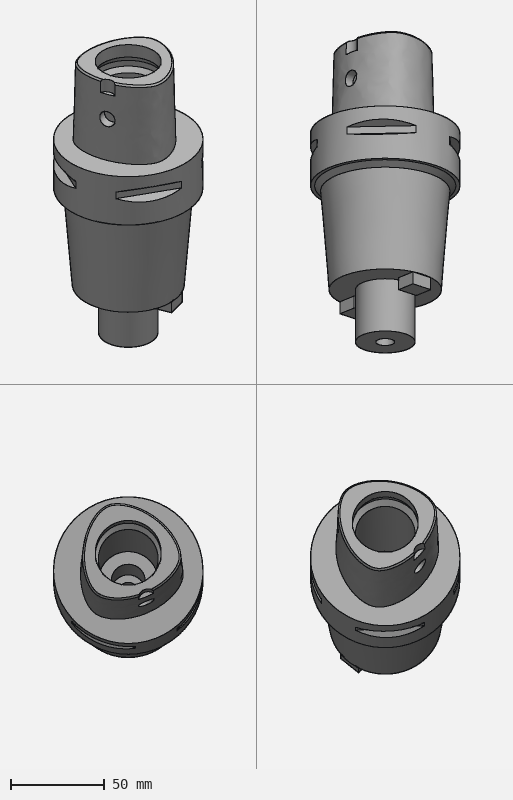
import cadquery as cq
import math

total_length = 168.0
shank_length = 48.0
flange_length = 30.0
collar_length = 3.0
pilot_length = 30.0
flange_top = total_length - shank_length
flange_bottom = flange_top - flange_length
body_top = flange_bottom - collar_length

flange_radius = 40.0
collar_radius = 37.8
body_top_radius = 34.6
body_bottom_radius = 30.0
pilot_radius = 16.0

shank_diameter = 55.0
shank_eccentricity = 2.0
shank_taper = 1 / 20
rim_bevel = 1.0
curve_points = 48

mouth_radius = 17.6
groove_radius = 19.3
bore_radius = 16.0
bolt_head_radius = 9.0
through_radius = 5.0
lip_depth = 7.7
groove_start_depth = 10.8
groove_end_depth = 14.3
bore_start_depth = 16.5
bore_depth = 78.0
bolt_head_depth = 107.5

notch_radius = 5.2
notch_center = 27.0
notch_depth = 7.7
side_hole_diameter = 9.0
side_hole_depth = 22.8
side_hole_floor = 19.2

grip_count = 4
first_grip_angle = 45
grip_floor_distance = 35.5
grip_floor_width = 4.0
grip_mouth_width = 8.7
grip_length = 37.3
grip_depth = 60.0
grip_height = total_length - grip_depth

key_inner = 17.8
key_outer = 29.2
key_width = 12.8
key_height = 6.9


def polygon_wire(diameter, height):
    """Closed three-lobed curve with one lobe toward +Y."""
    def point(angle):
        lobe = shank_eccentricity
        along = diameter / 2 * math.cos(angle) - 2 * lobe * math.cos(2 * angle) + lobe * math.cos(4 * angle)
        across = diameter / 2 * math.sin(angle) + 2 * lobe * math.sin(2 * angle) + lobe * math.sin(4 * angle)
        return cq.Vector(across, -along, height)

    points = [point(2 * math.pi * i / curve_points) for i in range(curve_points)]
    return cq.Wire.assembleEdges([cq.Edge.makeSpline(points, periodic=True)])


def make_shank():
    rim_height = total_length - rim_bevel
    rim_diameter = shank_diameter - shank_taper * (rim_height - flange_top)
    base = polygon_wire(shank_diameter, flange_top)
    rim = polygon_wire(rim_diameter, rim_height)
    top = polygon_wire(rim_diameter - 2 * rim_bevel, total_length)
    taper = cq.Solid.makeLoft([base, rim], True)
    bevel = cq.Solid.makeLoft([rim, top], True)
    return cq.Workplane(taper).union(cq.Workplane(bevel))


def revolve_profile(points):
    """Turn (radius, height) points about the Z axis."""
    return cq.Workplane("XZ").polyline(points).close().revolve(360, (0, 0), (0, 1))


def make_body():
    return revolve_profile([
        (0, 0),
        (pilot_radius, 0),
        (pilot_radius, pilot_length),
        (body_bottom_radius, pilot_length),
        (body_top_radius, body_top),
        (collar_radius, flange_bottom),
        (flange_radius, flange_bottom),
        (flange_radius, flange_top),
        (0, flange_top),
    ])


def make_bore():
    return revolve_profile([
        (0, total_length),
        (mouth_radius, total_length),
        (mouth_radius, total_length - lip_depth),
        (groove_radius, total_length - groove_start_depth),
        (groove_radius, total_length - groove_end_depth),
        (bore_radius, total_length - bore_start_depth),
        (bore_radius, total_length - bore_depth),
        (bolt_head_radius, total_length - bore_depth),
        (bolt_head_radius, total_length - bolt_head_depth),
        (through_radius, total_length - bolt_head_depth),
        (through_radius, 0),
        (0, 0),
    ])


def make_notch():
    return (
        cq.Workplane("XY", origin=(0, -notch_center, total_length - notch_depth))
        .circle(notch_radius)
        .extrude(notch_depth)
    )


def make_side_hole():
    return (
        cq.Workplane("XZ", origin=(0, -side_hole_floor, total_length - side_hole_depth))
        .circle(side_hole_diameter / 2)
        .extrude(flange_radius - side_hole_floor)
    )


def make_grip_groove(angle):
    """Straight groove whose sloping walls reach their full width at the flange surface."""
    section = [
        (grip_floor_distance, grip_height - grip_floor_width / 2),
        (flange_radius, grip_height - grip_mouth_width / 2),
        (flange_radius, grip_height + grip_mouth_width / 2),
        (grip_floor_distance, grip_height + grip_floor_width / 2),
    ]
    groove = cq.Workplane("XZ").polyline(section).close().extrude(grip_length / 2, both=True)
    return groove.rotate((0, 0, 0), (0, 0, 1), angle)


def make_key(side):
    return (
        cq.Workplane("XY", origin=(side * (key_inner + key_outer) / 2, 0, pilot_length - key_height))
        .rect(key_outer - key_inner, key_width)
        .extrude(key_height)
    )


result = make_body().union(make_shank())
for side in (-1, 1):
    result = result.union(make_key(side))
result = result.cut(make_bore()).cut(make_notch()).cut(make_side_hole())
for index in range(grip_count):
    result = result.cut(make_grip_groove(first_grip_angle + index * 360 / grip_count))